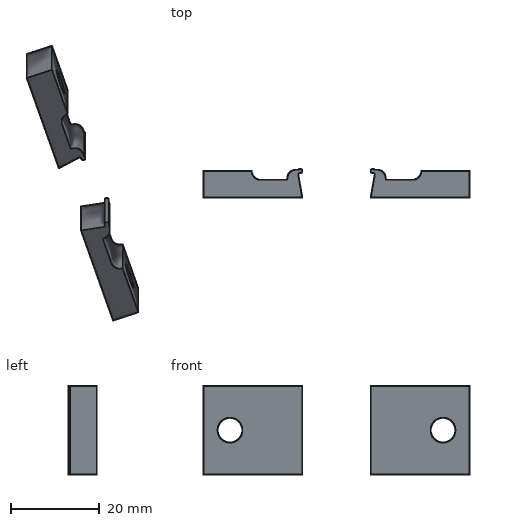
import cadquery as cq
import math

overall_length = 60.0
jaw_length = 22.3
jaw_height = 20.0
plate_thickness = 6.0
overall_thickness = 6.5
outer_end = overall_length / 2
inner_end = outer_end - jaw_length

recess_floor = 4.0
recess_outer_offset = 11.4
recess_radius = plate_thickness - recess_floor

shoulder_top = 6.3
shoulder_radius = 2.0
shoulder_center_offset = 1.45
root_radius = shoulder_top - shoulder_radius - recess_floor

bead_radius = 0.5
undercut_angle = math.radians(10)
neck_radius = 0.3

hole_diameter = 5.5
hole_offset = 6.0


def point_on_circle(center, radius, angle):
    return (center[0] + radius * math.cos(angle), center[1] + radius * math.sin(angle))


def jaw_profile():
    """Outline of the right-hand jaw in XY, to be extruded along Z."""
    diagonal = math.pi / 4

    bead_center = (inner_end + bead_radius, overall_thickness - bead_radius)
    bead_bottom = bead_center[1] - bead_radius
    neck_y = bead_bottom - neck_radius
    neck_x = inner_end + neck_y * math.tan(undercut_angle) - neck_radius / math.cos(undercut_angle)
    neck_center = (neck_x, neck_y)
    neck_start = point_on_circle(neck_center, neck_radius, -undercut_angle)
    neck_middle_angle = (math.pi / 2 - undercut_angle) / 2
    neck_middle = point_on_circle(neck_center, neck_radius, neck_middle_angle)

    bead_end_angle = math.asin((shoulder_top - bead_center[1]) / bead_radius)
    bead_end = point_on_circle(bead_center, bead_radius, bead_end_angle)

    shoulder_center = (inner_end + shoulder_center_offset, shoulder_top - shoulder_radius)
    shoulder_side = shoulder_center[0] + shoulder_radius
    root_center = (shoulder_side + root_radius, recess_floor + root_radius)

    recess_end = inner_end + recess_outer_offset
    recess_center = (recess_end - recess_radius, plate_thickness)

    return (
        cq.Workplane("XY")
        .moveTo(outer_end, 0)
        .lineTo(inner_end, 0)
        .lineTo(*neck_start)
        .threePointArc(neck_middle, (neck_x, bead_bottom))
        .lineTo(bead_center[0], bead_bottom)
        .threePointArc((inner_end, bead_center[1]), (bead_center[0], overall_thickness))
        .threePointArc(point_on_circle(bead_center, bead_radius, (bead_end_angle + math.pi / 2) / 2), bead_end)
        .lineTo(shoulder_center[0], shoulder_top)
        .threePointArc(
            point_on_circle(shoulder_center, shoulder_radius, diagonal),
            (shoulder_side, shoulder_center[1]),
        )
        .threePointArc(
            point_on_circle(root_center, root_radius, math.pi + diagonal),
            (root_center[0], recess_floor),
        )
        .lineTo(recess_center[0], recess_floor)
        .threePointArc(
            point_on_circle(recess_center, recess_radius, -diagonal),
            (recess_end, plate_thickness),
        )
        .lineTo(outer_end, plate_thickness)
        .close()
    )


def screw_hole():
    return (
        cq.Workplane("XZ")
        .center(outer_end - hole_offset, jaw_height / 2)
        .circle(hole_diameter / 2)
        .extrude(-plate_thickness)
    )


def make_jaw(side):
    """Jaw on the right (side = 1) or its mirror image on the left (side = -1)."""
    jaw = jaw_profile().extrude(jaw_height).cut(screw_hole())
    if side < 0:
        jaw = jaw.mirror("YZ")
    return jaw.val()


jaws = [make_jaw(side) for side in (-1, 1)]

result = cq.Compound.makeCompound(jaws)